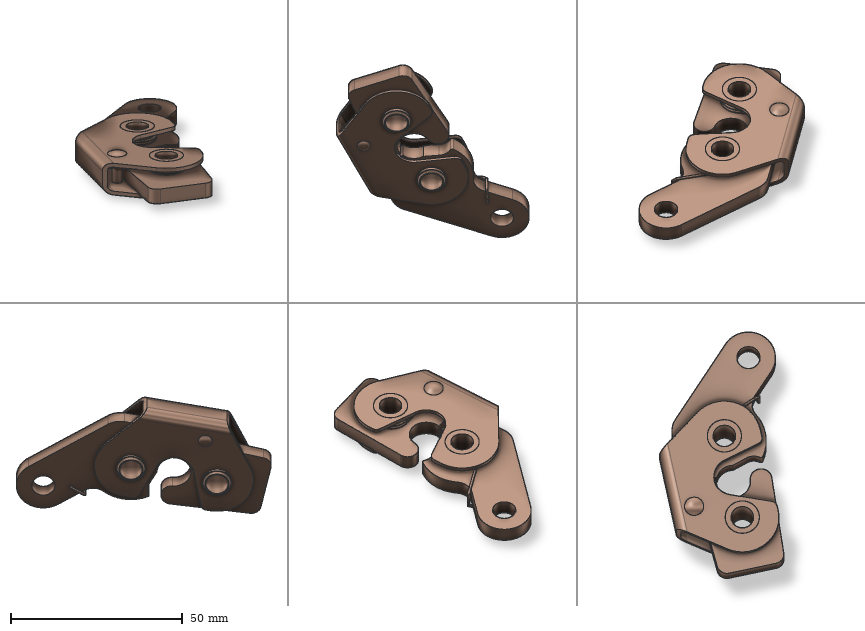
import math

import cadquery as cq


BUSHING_SPACING = 25.55
HOUSING_HEIGHT = 9.9
SHEET = 1.2
BEND_RADIUS = 2.8
EAR_RADIUS = 10.68
SPINE_Y = -19.45
SPINE_WIDTH = 23.8
MOUTH_RADIUS = 5.65
MOUTH_LEFT_LEAN = 15.6
MOUTH_RIGHT_LEAN = 21.6
MOUTH_CORNER_RADIUS = 2.0
MOUTH_X = BUSHING_SPACING / 2
MOUTH_OVERCUT = 1.0

BLADE_BOTTOM = 0.9
BLADE_THICKNESS = 4.6
BLADE_TOP = BLADE_BOTTOM + BLADE_THICKNESS
STRIKER_RADIUS = 4.93

ARM_EYE = (-23.6, 12.1)
ARM_RADIUS = 7.86
ARM_HOLE_DIAMETER = 6.73
ARM_SLOPE = 44.0
LEVER_HUB_RADIUS = 12.2
LEVER_LOWER_Y = -14.45
LEVER_NECK_FILLET = 5.0
LEVER_LOWER_FILLET = 6.4
LEVER_TIP_FILLET = 0.7
LEVER_TIP_ANGLE = 51.5
LEVER_THROAT_MIDDLE = (6.3, 6.9)
LEVER_THROAT_END = (6.55, 5.2)
LEVER_POCKET_START_ANGLE = 170.0
LEVER_POCKET_END_ANGLE = 244.0
LEVER_FOOT_X = 8.0

JAW_TIP_RADIUS = 3.18
JAW_TIP_LEAN = 7.0
JAW_SLOPE = 3.3
JAW_UPPER_RIGHT = (39.95, 9.75)
JAW_LOWER_RIGHT = (40.2, -9.75)
JAW_CORNER_RADIUS = 2.9
JAW_POCKET_END_ANGLE = 257.0

BUSHING_BORE = 6.53
BUSHING_HEAD_DIAMETER = 9.91
BUSHING_SEAT_DIAMETER = 9.97
BUSHING_BARREL_DIAMETER = 9.72
BUSHING_TAIL_DIAMETER = 8.19
BUSHING_FLARE_DIAMETER = 8.55
BUSHING_END_DIAMETER = 7.1
BUSHING_FLARE_Z = -1.15
BUSHING_END_Z = -1.81

RIVET_CENTER = (19.42, -13.05)
RIVET_PIN_DIAMETER = 3.06
RIVET_TOP_DIAMETER = 5.6
RIVET_BOTTOM_DIAMETER = 3.9
RIVET_TOP_RISE = 0.88
RIVET_BOTTOM_RISE = 0.7

WIRE_RADIUS = 0.38
COIL_RADIUS = 5.3
WIRE_SINK = 0.04
LOWER_LEG_Z = BLADE_TOP + WIRE_RADIUS - WIRE_SINK
UPPER_LEG_Z = 7.58
LEVER_SPRING_START_ANGLE = 204.8
LEVER_SPRING_TURNS = 2.11
LEVER_SPRING_LEG = 22.5
LEVER_SPRING_BEND = (-10.8, 11.4)
LEVER_SPRING_CREST = (-11.25, 12.6)
LEVER_SPRING_END = (-16.1, 10.7)
JAW_SPRING_START_ANGLE = 180.0
JAW_SPRING_TURNS = 1.577
JAW_SPRING_LEG = 17.7
JAW_SPRING_BEND_Y = -8.6
JAW_SPRING_END_Y = -10.0
JAW_SPRING_DROP = 0.7

BUSHING_AXES = ((0, 0), (BUSHING_SPACING, 0))


def polar(center, radius, degrees):
    """Point at a distance and angle from a centre."""
    angle = math.radians(degrees)
    return (center[0] + radius * math.cos(angle), center[1] + radius * math.sin(angle))


def vertical_cylinder(center, diameter, z_low, z_high):
    return cq.Workplane("XY", origin=(*center, z_low)).circle(diameter / 2).extrude(z_high - z_low)


def fillet_upright(body, corner, z, radius):
    """Round the upright edge that passes through a corner of the outline."""
    return body.edges(cq.selectors.NearestToPointSelector((*corner, z))).fillet(radius)


def housing_outline():
    """Two round ears, each joined to the narrow spine by a tangent flank."""
    spine_left = (MOUTH_X - SPINE_WIDTH / 2, SPINE_Y)
    reach = math.hypot(*spine_left)
    bearing = math.degrees(math.atan2(spine_left[1], spine_left[0]))
    touch_angle = bearing - math.degrees(math.acos(EAR_RADIUS / reach))
    left_touch = polar((0, 0), EAR_RADIUS, touch_angle)

    def opposite(point):
        return (BUSHING_SPACING - point[0], point[1])

    left_side = polar((0, 0), EAR_RADIUS, 180)
    left_crown = (0, EAR_RADIUS)
    return (
        cq.Workplane("XY")
        .moveTo(*spine_left)
        .lineTo(*left_touch)
        .threePointArc(left_side, left_crown)
        .lineTo(*opposite(left_crown))
        .threePointArc(opposite(left_side), opposite(left_touch))
        .lineTo(*opposite(spine_left))
        .close()
        .extrude(HOUSING_HEIGHT)
    )


def mouth_cutter():
    """Open mouth: a round bottom with two flanks that lean outward."""
    center = (MOUTH_X, 0)
    left_touch = polar(center, MOUTH_RADIUS, 180 + MOUTH_LEFT_LEAN)
    right_touch = polar(center, MOUTH_RADIUS, -MOUTH_RIGHT_LEAN)
    open_y = EAR_RADIUS + MOUTH_OVERCUT
    left_top_x = left_touch[0] - (open_y - left_touch[1]) * math.tan(math.radians(MOUTH_LEFT_LEAN))
    right_top_x = right_touch[0] + (open_y - right_touch[1]) * math.tan(math.radians(MOUTH_RIGHT_LEAN))
    return (
        cq.Workplane("XY")
        .moveTo(left_top_x, open_y)
        .lineTo(*left_touch)
        .threePointArc((MOUTH_X, -MOUTH_RADIUS), right_touch)
        .lineTo(right_top_x, open_y)
        .close()
        .extrude(HOUSING_HEIGHT)
    )


def ear_corner(flank_angle, axis_x, side):
    """Sharp corner where a mouth flank meets the ear circle."""
    lean = math.radians(flank_angle)
    offset = MOUTH_X - axis_x + side * MOUTH_RADIUS / math.cos(lean)
    slope = side * math.tan(lean)
    a = 1 + slope**2
    b = offset * slope
    y = (-b + math.sqrt(b**2 - a * (offset**2 - EAR_RADIUS**2))) / a
    return (axis_x + offset + slope * y, y)


def make_housing():
    plan = housing_outline().cut(mouth_cutter())
    for lean, axis, side in (
        (MOUTH_LEFT_LEAN, BUSHING_AXES[0], -1),
        (MOUTH_RIGHT_LEAN, BUSHING_AXES[1], 1),
    ):
        corner = ear_corner(lean, axis[0], side)
        plan = fillet_upright(plan, corner, HOUSING_HEIGHT / 2, MOUTH_CORNER_RADIUS)

    length = BUSHING_SPACING + 2 * EAR_RADIUS
    depth = EAR_RADIUS - SPINE_Y
    inner_height = HOUSING_HEIGHT - 2 * SHEET
    outer = (
        cq.Workplane("XY", origin=(-EAR_RADIUS, SPINE_Y, 0))
        .box(length, depth, HOUSING_HEIGHT, centered=False)
        .edges("|X and <Y")
        .fillet(BEND_RADIUS)
    )
    inner = (
        cq.Workplane("XY", origin=(-EAR_RADIUS, SPINE_Y + SHEET, SHEET))
        .box(length, depth, inner_height, centered=False)
        .edges("|X and <Y")
        .fillet(BEND_RADIUS - SHEET)
    )
    housing = plan.intersect(outer.cut(inner))
    for axis in BUSHING_AXES:
        seat = vertical_cylinder(axis, BUSHING_SEAT_DIAMETER, HOUSING_HEIGHT - SHEET, HOUSING_HEIGHT)
        housing = housing.cut(seat)
    return housing


def make_lever():
    """Sloping arm with an eye, joined to a round hub whose hook closes the striker pocket."""
    slope = math.radians(ARM_SLOPE)
    arm_top = polar(ARM_EYE, ARM_RADIUS, 90 - ARM_SLOPE)
    arm_end = polar(ARM_EYE, ARM_RADIUS, 180 - ARM_SLOPE)
    arm_bottom = polar(ARM_EYE, ARM_RADIUS, 270 - ARM_SLOPE)

    edge_offset = arm_top[0] * math.sin(slope) + arm_top[1] * math.cos(slope)
    neck_angle = 90 - ARM_SLOPE + math.degrees(math.acos(edge_offset / LEVER_HUB_RADIUS))
    neck = polar((0, 0), LEVER_HUB_RADIUS, neck_angle)
    hub_crown = (0, LEVER_HUB_RADIUS)
    tip = polar((0, 0), LEVER_HUB_RADIUS, LEVER_TIP_ANGLE)

    pocket = (MOUTH_X, 0)
    pocket_start = polar(pocket, STRIKER_RADIUS, LEVER_POCKET_START_ANGLE)
    pocket_middle_angle = (LEVER_POCKET_START_ANGLE + LEVER_POCKET_END_ANGLE) / 2
    pocket_middle = polar(pocket, STRIKER_RADIUS, pocket_middle_angle)
    pocket_end = polar(pocket, STRIKER_RADIUS, LEVER_POCKET_END_ANGLE)
    lower_corner = (arm_bottom[0] + (arm_bottom[1] - LEVER_LOWER_Y) / math.tan(slope), LEVER_LOWER_Y)

    lever = (
        cq.Workplane("XY", origin=(0, 0, BLADE_BOTTOM))
        .moveTo(*arm_top)
        .lineTo(*neck)
        .threePointArc(hub_crown, tip)
        .threePointArc(LEVER_THROAT_MIDDLE, LEVER_THROAT_END)
        .lineTo(*pocket_start)
        .threePointArc(pocket_middle, pocket_end)
        .lineTo(LEVER_FOOT_X, LEVER_LOWER_Y)
        .lineTo(*lower_corner)
        .lineTo(*arm_bottom)
        .threePointArc(arm_end, arm_top)
        .close()
        .extrude(BLADE_THICKNESS)
    )
    middle_z = BLADE_BOTTOM + BLADE_THICKNESS / 2
    lever = fillet_upright(lever, neck, middle_z, LEVER_NECK_FILLET)
    lever = fillet_upright(lever, lower_corner, middle_z, LEVER_LOWER_FILLET)
    lever = fillet_upright(lever, tip, middle_z, LEVER_TIP_FILLET)
    return lever.cut(vertical_cylinder(ARM_EYE, ARM_HOLE_DIAMETER, BLADE_BOTTOM, BLADE_TOP))


def make_jaw():
    """Tapered block with a rounded finger that hooks over the striker pocket."""
    pocket = (MOUTH_X, 0)
    touch_angle = 90 - JAW_TIP_LEAN
    tip_center = polar(pocket, STRIKER_RADIUS + JAW_TIP_RADIUS, touch_angle)
    tip_top = polar(tip_center, JAW_TIP_RADIUS, 90 - JAW_SLOPE)
    tip_side = polar(tip_center, JAW_TIP_RADIUS, 180)
    tip_touch = polar(pocket, STRIKER_RADIUS, touch_angle)
    pocket_side = polar(pocket, STRIKER_RADIUS, 0)
    pocket_end = polar(pocket, STRIKER_RADIUS, JAW_POCKET_END_ANGLE)
    lower_rise = (JAW_LOWER_RIGHT[0] - pocket_end[0]) * math.tan(math.radians(JAW_SLOPE))
    lower_left = (pocket_end[0], JAW_LOWER_RIGHT[1] - lower_rise)

    jaw = (
        cq.Workplane("XY", origin=(0, 0, BLADE_BOTTOM))
        .moveTo(*tip_top)
        .threePointArc(tip_side, tip_touch)
        .threePointArc(pocket_side, pocket_end)
        .lineTo(*lower_left)
        .lineTo(*JAW_LOWER_RIGHT)
        .lineTo(*JAW_UPPER_RIGHT)
        .close()
        .extrude(BLADE_THICKNESS)
    )
    middle_z = BLADE_BOTTOM + BLADE_THICKNESS / 2
    for corner in (JAW_LOWER_RIGHT, JAW_UPPER_RIGHT):
        jaw = fillet_upright(jaw, corner, middle_z, JAW_CORNER_RADIUS)
    return jaw


def make_bushing(axis):
    """Solid bushing with a flush head, a barrel and a flared tail; its bore is cut later."""
    head_radius = BUSHING_HEAD_DIAMETER / 2
    barrel_radius = BUSHING_BARREL_DIAMETER / 2
    tail_radius = BUSHING_TAIL_DIAMETER / 2
    head_z = HOUSING_HEIGHT - SHEET
    return (
        cq.Workplane("XZ")
        .moveTo(0, HOUSING_HEIGHT)
        .lineTo(head_radius, HOUSING_HEIGHT)
        .lineTo(head_radius, head_z)
        .lineTo(barrel_radius, head_z)
        .lineTo(barrel_radius, SHEET)
        .lineTo(tail_radius, SHEET)
        .lineTo(tail_radius, BUSHING_FLARE_Z)
        .lineTo(BUSHING_FLARE_DIAMETER / 2, BUSHING_FLARE_Z)
        .lineTo(BUSHING_END_DIAMETER / 2, BUSHING_END_Z)
        .lineTo(0, BUSHING_END_Z)
        .close()
        .revolve(360, (0, 0), (0, 1))
        .translate((*axis, 0))
    )


def rivet_dome(base_z, diameter, rise):
    """Spherical cap on a plate; a negative rise points it downward."""
    radius = diameter / 2
    sphere_radius = (radius**2 + rise**2) / (2 * abs(rise))
    half_angle = math.asin(radius / sphere_radius) / 2
    drop = sphere_radius * (1 - math.cos(half_angle))
    shoulder_z = base_z + rise - math.copysign(drop, rise)
    return (
        cq.Workplane("XZ")
        .moveTo(0, base_z)
        .lineTo(radius, base_z)
        .threePointArc((sphere_radius * math.sin(half_angle), shoulder_z), (0, base_z + rise))
        .close()
        .revolve(360, (0, 0), (0, 1))
        .translate((*RIVET_CENTER, 0))
    )


def make_rivet():
    pin = vertical_cylinder(RIVET_CENTER, RIVET_PIN_DIAMETER, 0, HOUSING_HEIGHT)
    top = rivet_dome(HOUSING_HEIGHT, RIVET_TOP_DIAMETER, RIVET_TOP_RISE)
    bottom = rivet_dome(0, RIVET_BOTTOM_DIAMETER, -RIVET_BOTTOM_RISE)
    return pin.union(top).union(bottom)


def wire_path(points):
    """Straight round wires through the points, with ball joints at the bends."""
    vectors = [cq.Vector(*point) for point in points]
    wire = cq.Workplane("XY")
    for start, end in zip(vectors, vectors[1:]):
        run = end - start
        wire = wire.union(cq.Workplane(cq.Solid.makeCylinder(WIRE_RADIUS, run.Length, start, run)))
    for bend in vectors[1:-1]:
        wire = wire.union(cq.Workplane("XY").sphere(WIRE_RADIUS).translate(bend.toTuple()))
    return wire


def make_coil(axis, start_angle, turns, left_handed):
    """Helical wire that rises from the lower leg level to the upper leg level."""
    height = UPPER_LEG_Z - LOWER_LEG_Z
    helix = cq.Wire.makeHelix(height / turns, height, COIL_RADIUS, lefthand=left_handed)
    coil = cq.Workplane("XZ", origin=(COIL_RADIUS, 0, 0)).circle(WIRE_RADIUS).sweep(helix, isFrenet=True)
    return coil.rotate((0, 0, 0), (0, 0, 1), start_angle).translate((*axis, LOWER_LEG_Z))


def make_upper_leg(axis, angle, turning, length):
    """Straight leg that leaves the top of a coil along its tangent."""
    start = polar(axis, COIL_RADIUS, angle)
    end = polar(start, length, angle + turning * 90)
    return wire_path([(*start, UPPER_LEG_Z), (*end, UPPER_LEG_Z)])


def make_lever_spring():
    """Left spring: one leg wraps over the arm edge, the other bears on the rivet."""
    axis = BUSHING_AXES[0]
    under_z = BLADE_BOTTOM - WIRE_RADIUS + WIRE_SINK
    start = polar(axis, COIL_RADIUS, LEVER_SPRING_START_ANGLE)
    lower_leg = wire_path(
        [
            (*start, LOWER_LEG_Z),
            (*LEVER_SPRING_BEND, LOWER_LEG_Z),
            (*LEVER_SPRING_CREST, BLADE_TOP - WIRE_RADIUS),
            (*LEVER_SPRING_CREST, under_z),
            (*LEVER_SPRING_END, under_z),
        ]
    )
    end_angle = LEVER_SPRING_START_ANGLE + 360 * LEVER_SPRING_TURNS
    upper_leg = make_upper_leg(axis, end_angle, 1, LEVER_SPRING_LEG)
    coil = make_coil(axis, LEVER_SPRING_START_ANGLE, LEVER_SPRING_TURNS, False)
    return coil.union(lower_leg).union(upper_leg)


def make_jaw_spring():
    """Right spring: one leg grips the jaw, the other rests against the housing spine."""
    axis = BUSHING_AXES[1]
    start = polar(axis, COIL_RADIUS, JAW_SPRING_START_ANGLE)
    lower_leg = wire_path(
        [
            (*start, LOWER_LEG_Z),
            (start[0], JAW_SPRING_BEND_Y, LOWER_LEG_Z),
            (start[0], JAW_SPRING_END_Y, LOWER_LEG_Z - JAW_SPRING_DROP),
        ]
    )
    end_angle = JAW_SPRING_START_ANGLE - 360 * JAW_SPRING_TURNS
    upper_leg = make_upper_leg(axis, end_angle, -1, JAW_SPRING_LEG)
    coil = make_coil(axis, JAW_SPRING_START_ANGLE, JAW_SPRING_TURNS, True)
    return coil.union(lower_leg).union(upper_leg)


result = make_housing().union(make_lever()).union(make_jaw())
for bushing_axis in BUSHING_AXES:
    result = result.union(make_bushing(bushing_axis))
result = result.union(make_rivet()).union(make_lever_spring()).union(make_jaw_spring())
for bushing_axis in BUSHING_AXES:
    bore = vertical_cylinder(bushing_axis, BUSHING_BORE, BUSHING_END_Z, HOUSING_HEIGHT)
    result = result.cut(bore)